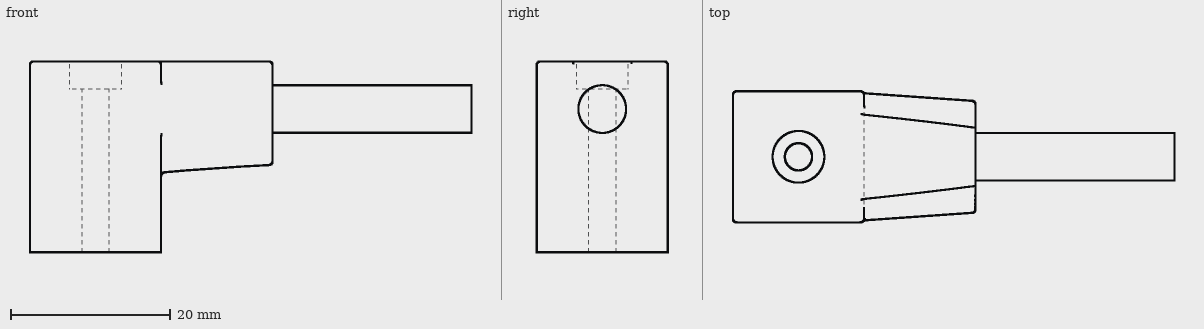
import cadquery as cq
import math

BLOCK_SIDE = 16.5
BLOCK_HEIGHT = 24.0
EDGE_RADIUS = 0.5

OUTLET_LENGTH = 14.0
OUTLET_ROOT_RADIUS = 8.0
OUTLET_TAPER_ANGLE = 4.0
OUTLET_EMBEDMENT = 2.0
ROOT_FILLET_RADIUS = 0.5
END_FILLET_RADIUS = 0.5
AXIS_BELOW_TOP = 6.0

CABLE_DIAMETER = 6.0
CABLE_LENGTH = 25.0

SCREW_DIAMETER = 3.4
COUNTERBORE_DIAMETER = 6.5
COUNTERBORE_DEPTH = 3.5

BLOCK_FACE_X = BLOCK_SIDE / 2
OUTLET_END_X = BLOCK_FACE_X + OUTLET_LENGTH
AXIS_Z = BLOCK_HEIGHT - AXIS_BELOW_TOP


def make_block():
    """Block with rounded vertical and top edges and sharp bottom edges."""
    block = cq.Workplane("XY").box(BLOCK_SIDE, BLOCK_SIDE, BLOCK_HEIGHT, centered=(True, True, False))
    return block.edges("|Z or >Z").fillet(EDGE_RADIUS)


def make_outlet_cone():
    """Full cone of the cable outlet, carried back along its taper into the block."""
    taper = math.tan(math.radians(OUTLET_TAPER_ANGLE))
    cone = cq.Solid.makeCone(
        OUTLET_ROOT_RADIUS + taper * OUTLET_EMBEDMENT,
        OUTLET_ROOT_RADIUS - taper * OUTLET_LENGTH,
        OUTLET_LENGTH + OUTLET_EMBEDMENT,
        pnt=cq.Vector(BLOCK_FACE_X - OUTLET_EMBEDMENT, 0, AXIS_Z),
        dir=cq.Vector(1, 0, 0),
    )
    return cq.Workplane("XY").newObject([cone])


def fillet_outlet_root(body):
    """Blend the cone into the block.

    Only the arc below the axis is picked: the fillet runs on from it along the
    tangent edges, over the block's rounded sides and top.
    """
    margin = 0.1
    reach = OUTLET_ROOT_RADIUS + margin
    lower_root_arc = cq.selectors.BoxSelector(
        (BLOCK_FACE_X - margin, -reach, AXIS_Z - reach),
        (BLOCK_FACE_X + margin, reach, AXIS_Z),
        boundingbox=True,
    )
    return body.edges(lower_root_arc).fillet(ROOT_FILLET_RADIUS)


def cut_flush_with_top(body):
    """Remove the part of the cone that stands above the block's flat top."""
    above_top = cq.Workplane("XY", origin=(0, 0, BLOCK_HEIGHT)).box(
        4 * OUTLET_END_X, 4 * OUTLET_ROOT_RADIUS, 2 * OUTLET_ROOT_RADIUS, centered=(True, True, False)
    )
    return body.cut(above_top)


def cut_screw_hole(body):
    """Counterbored hole down the Z axis."""
    top = body.copyWorkplane(cq.Workplane("XY", origin=(0, 0, BLOCK_HEIGHT)))
    return top.cboreHole(SCREW_DIAMETER, COUNTERBORE_DIAMETER, COUNTERBORE_DEPTH, BLOCK_HEIGHT)


def make_cable():
    """Round cable on the outlet axis."""
    start = cq.Workplane("YZ", origin=(OUTLET_END_X, 0, AXIS_Z))
    return start.circle(CABLE_DIAMETER / 2).extrude(CABLE_LENGTH)


body = make_block().union(make_outlet_cone())
body = fillet_outlet_root(body)
body = cut_flush_with_top(body)
body = body.faces(">X").edges().fillet(END_FILLET_RADIUS)
body = cut_screw_hole(body)
result = body.union(make_cable())